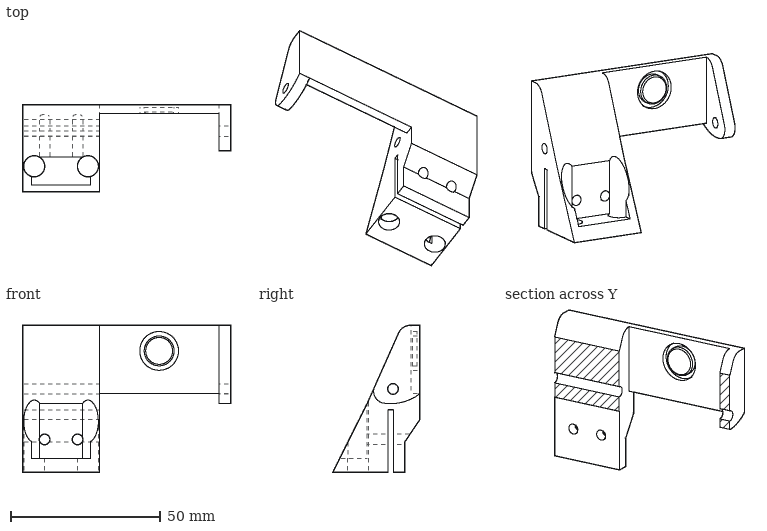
import math

import cadquery as cq


LENGTH = 69.8
DEPTH = 29.22
HEIGHT = 49.3

PLATE_THICKNESS = 3.0
PLATE_HEIGHT = 23.0

BLOCK_WIDTH = 25.8
TOP_RADIUS = 4.6
CREASE_DEPTH = 17.65
CREASE_HEIGHT = 23.1
FOOT_BACK_DEPTH = 5.0
FOOT_HEIGHT = 10.2
BACK_FACE_BOTTOM = 17.6

SLOT_DEPTH = 8.9
SLOT_WIDTH = 1.7
SLOT_HEIGHT = 20.9

POCKET_WALL = 3.0
POCKET_FLOOR = 4.65
BORE_DIAMETER = 7.0
BORE_SPACING = 18.0
BORE_DEPTH = 20.67
SCREW_HOLE_DIAMETER = 3.5
SCREW_HOLE_SPACING = 11.05
SCREW_HOLE_HEIGHT = 11.0

EAR_THICKNESS = 4.0
EAR_TIP_RADIUS = 4.0
EAR_LOWER_RADIUS = 16.0

CROSS_HOLE_DIAMETER = 3.5
CROSS_HOLE_DEPTH = 9.0
CROSS_HOLE_HEIGHT = 27.9

RING_OUTER_DIAMETER = 13.0
RING_INNER_DIAMETER = 10.0
RING_X = 45.75
RING_BELOW_TOP = 8.65
RING_GROOVE_DEPTH = 2.0
STUD_CHAMFER = 0.5

TOP_CENTRE = (PLATE_THICKNESS, HEIGHT - TOP_RADIUS)
CENTRE_RUN = CREASE_DEPTH - TOP_CENTRE[0]
CENTRE_RISE = TOP_CENTRE[1] - CREASE_HEIGHT
CENTRE_DISTANCE = math.hypot(CENTRE_RUN, CENTRE_RISE)
SLOPE_ANGLE = math.atan2(CENTRE_RUN, CENTRE_RISE) - math.asin(TOP_RADIUS / CENTRE_DISTANCE)


def point_on_arc(centre, radius, angle):
    """Point on a circle at an angle above the forward direction."""
    return (centre[0] + radius * math.cos(angle), centre[1] + radius * math.sin(angle))


def arc_middle(centre, radius, start, end):
    return point_on_arc(centre, radius, (start + end) / 2)


TOP_ARC_MIDDLE = arc_middle(TOP_CENTRE, TOP_RADIUS, math.pi / 2, SLOPE_ANGLE)
TOP_ARC_END = point_on_arc(TOP_CENTRE, TOP_RADIUS, SLOPE_ANGLE)


def side_profile(x, start):
    """Start a side profile in the plane at x, with depth measured towards -Y."""
    plane = cq.Plane(origin=(x, 0, 0), xDir=(0, -1, 0), normal=(-1, 0, 0))
    return cq.Workplane(plane).moveTo(*start)


def box(x, depth, z, width, thickness, height):
    """Box from its lowest X, its rear depth and its lowest Z."""
    corner = (x, -depth - thickness, z)
    return cq.Workplane("XY").box(width, thickness, height, centered=False).translate(corner)


def cross_cylinder(x, z, diameter, rear_depth, length):
    """Cylinder along Y that starts at rear_depth and runs forward."""
    return (
        cq.Workplane("XZ", origin=(x, -rear_depth, z))
        .circle(diameter / 2)
        .extrude(length)
    )


def make_block():
    return (
        side_profile(BLOCK_WIDTH, (0, HEIGHT))
        .lineTo(PLATE_THICKNESS, HEIGHT)
        .threePointArc(TOP_ARC_MIDDLE, TOP_ARC_END)
        .lineTo(CREASE_DEPTH, CREASE_HEIGHT)
        .lineTo(DEPTH, 0)
        .lineTo(FOOT_BACK_DEPTH, 0)
        .lineTo(FOOT_BACK_DEPTH, FOOT_HEIGHT)
        .lineTo(0, BACK_FACE_BOTTOM)
        .close()
        .extrude(BLOCK_WIDTH)
    )


def make_ear():
    """Ear with the block's top and slope, ending in a round tip near the crease height."""
    tip_height = CREASE_HEIGHT + EAR_TIP_RADIUS
    slope_depth = CREASE_DEPTH - EAR_TIP_RADIUS * math.tan(SLOPE_ANGLE)
    tip_centre = (slope_depth - EAR_TIP_RADIUS / math.cos(SLOPE_ANGLE), tip_height)
    plate_bottom = HEIGHT - PLATE_HEIGHT
    rise = tip_centre[1] - plate_bottom
    span = math.hypot(tip_centre[0], rise)
    centre_gap = EAR_LOWER_RADIUS - EAR_TIP_RADIUS
    start_cosine = (EAR_LOWER_RADIUS**2 + span**2 - centre_gap**2) / (2 * EAR_LOWER_RADIUS * span)
    centre_angle = math.atan2(rise, tip_centre[0]) + math.acos(start_cosine)
    lower_centre = point_on_arc((0, plate_bottom), EAR_LOWER_RADIUS, centre_angle)
    lower_start = centre_angle - math.pi
    lower_end = math.atan2(tip_centre[1] - lower_centre[1], tip_centre[0] - lower_centre[0])
    lower_middle = arc_middle(lower_centre, EAR_LOWER_RADIUS, lower_start, lower_end)
    return (
        side_profile(LENGTH, (0, HEIGHT))
        .lineTo(PLATE_THICKNESS, HEIGHT)
        .threePointArc(TOP_ARC_MIDDLE, TOP_ARC_END)
        .lineTo(*point_on_arc(tip_centre, EAR_TIP_RADIUS, SLOPE_ANGLE))
        .threePointArc(
            arc_middle(tip_centre, EAR_TIP_RADIUS, SLOPE_ANGLE, lower_end),
            point_on_arc(tip_centre, EAR_TIP_RADIUS, lower_end),
        )
        .threePointArc(lower_middle, (0, plate_bottom))
        .close()
        .extrude(EAR_THICKNESS)
    )


def make_plate():
    return box(0, 0, HEIGHT - PLATE_HEIGHT, LENGTH, PLATE_THICKNESS, PLATE_HEIGHT)


def make_pocket():
    """Pocket open to the sloped face, with two bores down through the bottom at its rear corners."""
    middle = BLOCK_WIDTH / 2
    pocket_width = BLOCK_WIDTH - 2 * POCKET_WALL
    pocket = box(POCKET_WALL, CREASE_DEPTH, POCKET_FLOOR, pocket_width, DEPTH - CREASE_DEPTH, HEIGHT)
    bores = (
        cq.Workplane("XY")
        .pushPoints([(middle + side * BORE_SPACING / 2, -BORE_DEPTH) for side in (-1, 1)])
        .circle(BORE_DIAMETER / 2)
        .extrude(HEIGHT)
    )
    return pocket.union(bores)


def make_screw_holes():
    """Two holes from the pocket's rear wall out through the back."""
    middle = BLOCK_WIDTH / 2
    holes = cq.Workplane("XY")
    for side in (-1, 1):
        x = middle + side * SCREW_HOLE_SPACING / 2
        holes = holes.add(cross_cylinder(x, SCREW_HOLE_HEIGHT, SCREW_HOLE_DIAMETER, 0, CREASE_DEPTH))
    return holes.combine()


def make_ring_groove():
    z = HEIGHT - RING_BELOW_TOP
    floor_depth = PLATE_THICKNESS - RING_GROOVE_DEPTH
    disc = cross_cylinder(RING_X, z, RING_OUTER_DIAMETER, floor_depth, RING_GROOVE_DEPTH)
    stud = cross_cylinder(RING_X, z, RING_INNER_DIAMETER, floor_depth, RING_GROOVE_DEPTH)
    return disc.cut(stud.faces("<Y").chamfer(STUD_CHAMFER))


def make_cross_hole():
    return (
        side_profile(LENGTH, (CROSS_HOLE_DEPTH, CROSS_HOLE_HEIGHT))
        .circle(CROSS_HOLE_DIAMETER / 2)
        .extrude(LENGTH)
    )


slot = box(0, SLOT_DEPTH, 0, BLOCK_WIDTH, SLOT_WIDTH, SLOT_HEIGHT)

result = make_plate().union(make_block()).union(make_ear())
for cutter in (slot, make_pocket(), make_screw_holes(), make_ring_groove(), make_cross_hole()):
    result = result.cut(cutter)